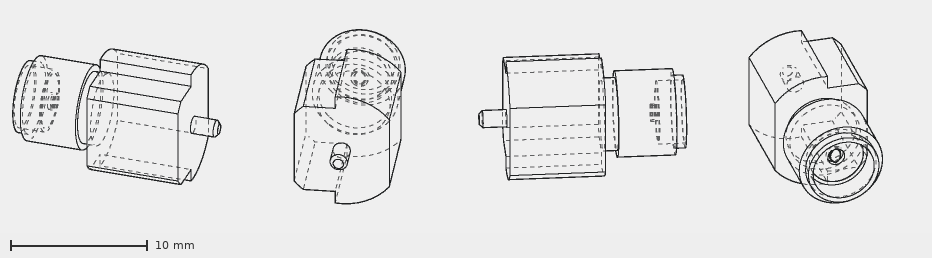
import cadquery as cq

insulator_recess = 0.05
well_depth = 0.45
contact_setback = 0.15
contact_step_length = 0.15

total_length = 15.0
lip_end = 0.75
collar_end = 5.0
body_front = 6.0
body_back = 13.0
socket_floor = 1.95
insulator_face = socket_floor + insulator_recess
contact_tip = insulator_face + contact_setback
contact_shoulder = contact_tip + contact_step_length
well_floor = insulator_face + well_depth

neck_diameter = 5.35
collar_diameter = 6.33
socket_diameter = 4.64
insulator_diameter = 4.1
pin_diameter = 1.28
pin_chamfer = 0.25

body_diameter = 9.0
body_width = 7.0
notched_height = body_width
notch_wall_y = -0.48

contact_base_width = 0.85
contact_base_height = 1.25
contact_tip_width = 0.76
contact_tip_height = 1.17


def cylinder(diameter, x_start, x_end):
    """Cylinder on the X axis between two stations."""
    profile = cq.Workplane("YZ", origin=(x_start, 0, 0)).circle(diameter / 2)
    return profile.extrude(x_end - x_start)


def make_body():
    """Round bar with flat sides and a step cut along the -Y half of its top and bottom."""
    length = body_back - body_front
    middle = (body_front + length / 2, 0, 0)
    bar = cylinder(body_diameter, body_front, body_back)
    flats = cq.Workplane(origin=middle).box(length, body_width, body_diameter)
    step_depth = (body_diameter - notched_height) / 2
    step_width = notch_wall_y + body_width / 2
    step = cq.Workplane(origin=middle).box(length, step_width, step_depth)
    body = bar.intersect(flats)
    for side in (1, -1):
        step_z = side * (notched_height + step_depth) / 2
        body = body.cut(step.translate((0, notch_wall_y - step_width / 2, step_z)))
    return body


def make_barrel():
    """Stepped barrel in front of the body."""
    neck = cylinder(neck_diameter, 0, body_front)
    return neck.union(cylinder(collar_diameter, lip_end, collar_end))


def make_tail_pin():
    """Contact pin behind the body, with a chamfered tip."""
    return cylinder(pin_diameter, body_back, total_length).faces(">X").chamfer(pin_chamfer)


def make_socket():
    """Space cut from the mating end: bore, shallow insulator recess and contact well."""
    bore = cylinder(socket_diameter, 0, socket_floor)
    recess = cylinder(insulator_diameter, socket_floor, insulator_face)
    well = cylinder(pin_diameter, insulator_face, well_floor)
    return bore.union(recess).union(well)


def lens_prism(width, height, x_start, x_end):
    """Prism between two stations whose outline is two arcs meeting above and below the axis."""
    top = (0, height / 2)
    bottom = (0, -height / 2)
    outline = cq.Workplane("YZ", origin=(x_start, 0, 0)).moveTo(*bottom)
    outline = outline.threePointArc((width / 2, 0), top)
    outline = outline.threePointArc((-width / 2, 0), bottom).close()
    return outline.extrude(x_end - x_start)


def make_contact():
    """Stepped lens-shaped contact standing on the floor of the well."""
    base = lens_prism(contact_base_width, contact_base_height, contact_shoulder, well_floor)
    tip = lens_prism(contact_tip_width, contact_tip_height, contact_tip, contact_shoulder)
    return base.union(tip)


result = make_body().union(make_barrel()).union(make_tail_pin())
result = result.cut(make_socket()).union(make_contact())